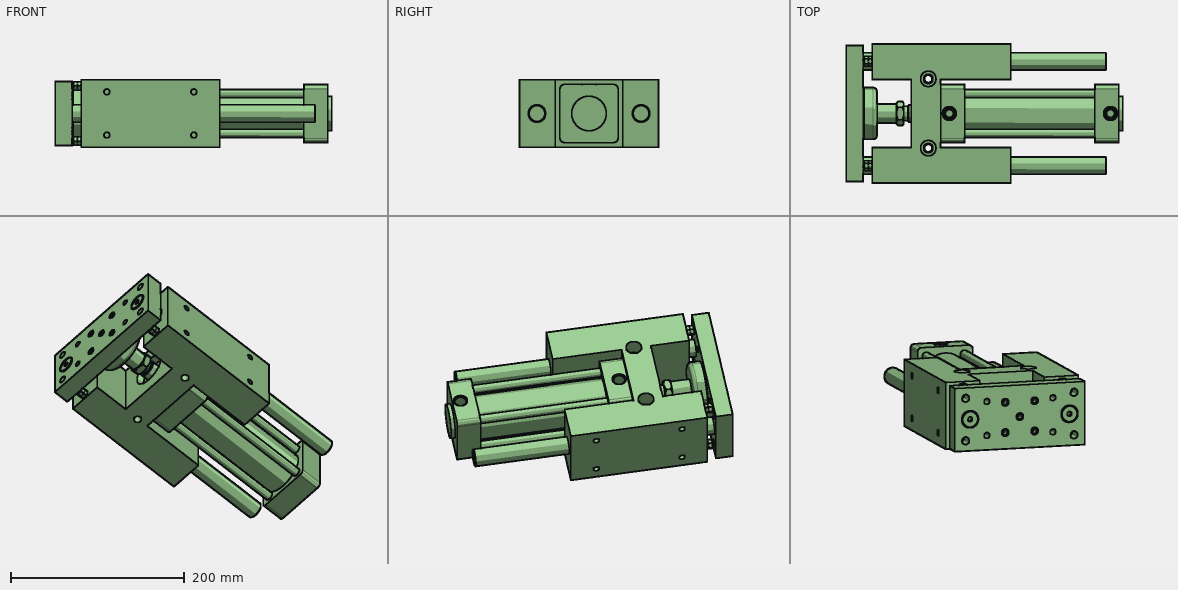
import cadquery as cq
import math


HOUSING_START = 30.0
HOUSING_LENGTH = 159.8
HOUSING_WIDTH = 160.0
HOUSING_HEIGHT = 78.0
WINDOW_WIDTH = 77.8
WEB_START = 75.0
WEB_END = 109.0
ROD_WINDOW_DIAMETER = 40.0
ROD_WINDOW_DEPTH = 9.5

MOUNT_SPACING = 79.8
MOUNT_X = 94.7
MOUNT_COUNTERBORE_DIAMETER = 18.0
MOUNT_COUNTERBORE_DEPTH = 19.0
MOUNT_THREAD_DIAMETER = 11.0
MOUNT_THREAD_DEPTH = 19.0
MOUNT_DRILL_DIAMETER = 8.5

SIDE_HOLE_DIAMETER = 6.7
SIDE_HOLE_DEPTH = 12.8
SIDE_HOLE_START = 59.5
SIDE_HOLE_PITCH_X = 100.2
SIDE_HOLE_PITCH_Z = 49.8

STOP_START = 21.0
STOP_HEAD_LENGTH = 4.8
STOP_ACROSS_FLATS = 10.0
STOP_CHAMFER = 0.5
STOP_SPACING_Z = 63.8

COVER_SIZE = 67.0
COVER_LENGTH = 27.5
COVER_FILLET = 5.0
TOTAL_LENGTH = 319.0
BOSS_DIAMETER = 40.0
BOSS_LENGTH = 4.8
TUBE_DIAMETER = 51.7
TIE_ROD_DIAMETER = 10.0
TIE_ROD_SPACING = 46.0

PORT_MOUTH_DIAMETER = 16.0
PORT_DIAMETER = 13.0
PORT_FLOOR_DIAMETER = 9.3
PORT_DEPTH = 19.0
FRONT_PORT_OFFSET = 10.0
REAR_PORT_OFFSET = 9.5

PLATE_THICKNESS = 19.8
PLATE_WIDTH = 157.0
PLATE_HEIGHT = 74.0
CORNER_HOLE_DIAMETER = 8.5
CORNER_HOLE_SPACING_Y = 130.8
CORNER_HOLE_SPACING_Z = 49.8
THROUGH_HOLE_DIAMETER = 6.7
THROUGH_HOLE_SPACING_Y = 79.8
THROUGH_HOLE_SPACING_Z = 40.0
SCREW_SPACING = 35.5
SCREW_MOUTH_DIAMETER = 8.5
SCREW_HOLE_DIAMETER = 6.0
SCREW_HOLE_DEPTH = 12.8

GUIDE_ROD_DIAMETER = 20.0
GUIDE_ROD_SPACING = 120.0
GUIDE_ROD_END = 300.0
GUIDE_ROD_CHAMFER = 1.0
CENTRE_HOLE_DIAMETER = 5.5
CENTRE_HOLE_DEPTH = 4.8

FLANGE_DIAMETER = 60.0
FLANGE_END = 35.7
FLANGE_FILLET = 4.8
FLANGE_CHAMFER = 1.0
JOINT_DIAMETER = 22.0
NUT_START = 58.0
NUT_END = 66.7
NUT_ACROSS_FLATS = 24.2
NUT_CHAMFER = 2.0
THREAD_DIAMETER = 17.2
PISTON_ROD_START = 71.0
PISTON_ROD_DIAMETER = 20.0
PISTON_ROD_CHAMFER = 1.3

HOUSING_END = HOUSING_START + HOUSING_LENGTH
FRONT_COVER_END = WEB_END + COVER_LENGTH
REAR_COVER_END = TOTAL_LENGTH - BOSS_LENGTH
REAR_COVER_START = REAR_COVER_END - COVER_LENGTH
ROD_WINDOW_FLOOR = WEB_START + ROD_WINDOW_DEPTH
GUIDE_ROD_CENTRES = [(-GUIDE_ROD_SPACING / 2, 0), (GUIDE_ROD_SPACING / 2, 0)]


def grid(spacing_y, spacing_z):
    """Four (y, z) points at the corners of a centred rectangle."""
    return [(sy * spacing_y / 2, sz * spacing_z / 2) for sy in (-1, 1) for sz in (-1, 1)]


def at_x(x):
    """Workplane across the travel direction, with local axes Y and Z."""
    return cq.Workplane("YZ", origin=(x, 0, 0))


def block(start, end, width, height):
    return at_x(start).rect(width, height).extrude(end - start)


def bars(start, end, diameter, centres=((0, 0),)):
    """Round bars along X, one at each (y, z) centre."""
    return at_x(start).pushPoints(centres).circle(diameter / 2).extrude(end - start)


def cone(start, end, start_diameter, end_diameter, centre):
    """Truncated cone along X at a (y, z) centre."""
    base = cq.Vector(start, *centre)
    axis = cq.Vector(1, 0, 0)
    return cq.Workplane(cq.Solid.makeCone(start_diameter / 2, end_diameter / 2, end - start, base, axis))


def hexagon(start, end, across_flats, chamfer, centre=(0, 0)):
    """Hexagon bar along X with corners toward +Y and -Y, its corners rounded off conically at both ends."""
    across_corners = across_flats / math.cos(math.pi / 6)
    prism = at_x(start).center(*centre).polygon(6, across_corners).extrude(end - start)
    envelope = bars(start, end, across_corners, [centre]).faces("<X or >X").chamfer(chamfer)
    return prism.intersect(envelope)


def upright_drill(x, y, top, depth, diameter):
    """Cylinder reaching down from a top face, for vertical holes."""
    return cq.Workplane("XY", origin=(x, y, top)).circle(diameter / 2).extrude(-depth)


def mount_hole(y):
    top = HOUSING_HEIGHT / 2
    thread_floor = MOUNT_COUNTERBORE_DEPTH + MOUNT_THREAD_DEPTH
    return (
        upright_drill(MOUNT_X, y, top, MOUNT_COUNTERBORE_DEPTH, MOUNT_COUNTERBORE_DIAMETER)
        .union(upright_drill(MOUNT_X, y, top, thread_floor, MOUNT_THREAD_DIAMETER))
        .union(upright_drill(MOUNT_X, y, top, HOUSING_HEIGHT, MOUNT_DRILL_DIAMETER))
    )


def side_holes():
    """Blind holes in both outer sides of the housing."""
    points = [
        (SIDE_HOLE_START + i * SIDE_HOLE_PITCH_X, s * SIDE_HOLE_PITCH_Z / 2) for i in (0, 1) for s in (-1, 1)
    ]
    core_width = HOUSING_WIDTH - 2 * SIDE_HOLE_DEPTH
    through = (
        cq.Workplane("XZ").pushPoints(points).circle(SIDE_HOLE_DIAMETER / 2).extrude(HOUSING_WIDTH / 2, both=True)
    )
    return through.cut(block(0, TOTAL_LENGTH, core_width, HOUSING_HEIGHT))


def stop_bolt(centre):
    """Hexagon bolt head with a lock nut against the housing."""
    head_end = STOP_START + STOP_HEAD_LENGTH
    head = hexagon(STOP_START, head_end, STOP_ACROSS_FLATS, STOP_CHAMFER, centre)
    nut = hexagon(head_end, HOUSING_START, STOP_ACROSS_FLATS, STOP_CHAMFER, centre)
    return head.union(nut)


def port(x):
    """Vertical tapered port with a 45 degree countersunk mouth."""
    sink_depth = (PORT_MOUTH_DIAMETER - PORT_DIAMETER) / 2
    profile = [
        (0, 0),
        (PORT_MOUTH_DIAMETER / 2, 0),
        (PORT_DIAMETER / 2, -sink_depth),
        (PORT_FLOOR_DIAMETER / 2, -PORT_DEPTH),
        (0, -PORT_DEPTH),
    ]
    mouth = cq.Workplane("XZ", origin=(x, 0, COVER_SIZE / 2))
    return mouth.polyline(profile).close().revolve(360, (0, 0), (0, 1))


def cover(start):
    return block(start, start + COVER_LENGTH, COVER_SIZE, COVER_SIZE).edges("|X").fillet(COVER_FILLET)


def make_cylinder():
    tie_rods = bars(FRONT_COVER_END, REAR_COVER_START, TIE_ROD_DIAMETER, grid(TIE_ROD_SPACING, TIE_ROD_SPACING))
    return (
        cover(WEB_END)
        .union(cover(REAR_COVER_START))
        .union(bars(FRONT_COVER_END, REAR_COVER_START, TUBE_DIAMETER))
        .union(tie_rods)
        .union(bars(REAR_COVER_END, TOTAL_LENGTH, BOSS_DIAMETER))
        .cut(port(WEB_END + FRONT_PORT_OFFSET))
        .cut(port(REAR_COVER_END - REAR_PORT_OFFSET))
    )


def make_body():
    """Stationary body: the guide housing with its stop bolts and the cylinder."""
    body = block(HOUSING_START, HOUSING_END, HOUSING_WIDTH, HOUSING_HEIGHT)
    body = body.cut(block(HOUSING_START, WEB_START, WINDOW_WIDTH, HOUSING_HEIGHT))
    body = body.cut(block(WEB_END, HOUSING_END, WINDOW_WIDTH, HOUSING_HEIGHT))
    body = body.cut(bars(WEB_START, ROD_WINDOW_FLOOR, ROD_WINDOW_DIAMETER))
    for side in (-1, 1):
        body = body.cut(mount_hole(side * MOUNT_SPACING / 2))
    body = body.cut(side_holes())
    body = body.cut(bars(HOUSING_START, HOUSING_END, GUIDE_ROD_DIAMETER, GUIDE_ROD_CENTRES))
    body = body.union(make_cylinder())
    body = body.cut(bars(ROD_WINDOW_FLOOR, FRONT_COVER_END, PISTON_ROD_DIAMETER))
    for centre in grid(GUIDE_ROD_SPACING, STOP_SPACING_Z):
        body = body.union(stop_bolt(centre))
    return body


def countersunk_hole(centre):
    """Blind hole in the plate face with a 45 degree countersink."""
    sink_depth = (SCREW_MOUTH_DIAMETER - SCREW_HOLE_DIAMETER) / 2
    sink = cone(0, sink_depth, SCREW_MOUTH_DIAMETER, SCREW_HOLE_DIAMETER, centre)
    return bars(0, SCREW_HOLE_DEPTH, SCREW_HOLE_DIAMETER, [centre]).union(sink)


def plate_holes():
    corner = bars(0, PLATE_THICKNESS, CORNER_HOLE_DIAMETER, grid(CORNER_HOLE_SPACING_Y, CORNER_HOLE_SPACING_Z))
    through = bars(0, PLATE_THICKNESS, THROUGH_HOLE_DIAMETER, grid(THROUGH_HOLE_SPACING_Y, THROUGH_HOLE_SPACING_Z))
    centre_drills = bars(0, CENTRE_HOLE_DEPTH, CENTRE_HOLE_DIAMETER, GUIDE_ROD_CENTRES)
    holes = corner.union(through).union(centre_drills)
    for centre in [(0, 0)] + grid(SCREW_SPACING, SCREW_SPACING):
        holes = holes.union(countersunk_hole(centre))
    return holes


def rod_end_groove(centre):
    """V groove that the chamfered front end of a guide rod leaves in the plate face."""
    bore = bars(0, GUIDE_ROD_CHAMFER, GUIDE_ROD_DIAMETER, [centre])
    tip_diameter = GUIDE_ROD_DIAMETER - 2 * GUIDE_ROD_CHAMFER
    return bore.cut(cone(0, GUIDE_ROD_CHAMFER, tip_diameter, GUIDE_ROD_DIAMETER, centre))


def make_slide():
    """Moving body: the plate with its guide rods, floating joint and piston rod."""
    guide_rods = bars(0, GUIDE_ROD_END, GUIDE_ROD_DIAMETER, GUIDE_ROD_CENTRES)
    guide_rods = guide_rods.faces(">X").chamfer(GUIDE_ROD_CHAMFER)
    flange = bars(PLATE_THICKNESS, FLANGE_END, FLANGE_DIAMETER).faces(">X").edges().fillet(FLANGE_FILLET)
    flange = flange.faces("<X").chamfer(FLANGE_CHAMFER)
    piston_rod = bars(PISTON_ROD_START, FRONT_COVER_END, PISTON_ROD_DIAMETER)
    piston_rod = piston_rod.faces("<X").chamfer(PISTON_ROD_CHAMFER)
    slide = block(0, PLATE_THICKNESS, PLATE_WIDTH, PLATE_HEIGHT).union(guide_rods)
    for centre in GUIDE_ROD_CENTRES:
        slide = slide.cut(rod_end_groove(centre))
    return (
        slide.cut(plate_holes())
        .union(flange)
        .union(bars(FLANGE_END, NUT_START, JOINT_DIAMETER))
        .union(hexagon(NUT_START, NUT_END, NUT_ACROSS_FLATS, NUT_CHAMFER))
        .union(bars(NUT_END, PISTON_ROD_START, THREAD_DIAMETER))
        .union(piston_rod)
    )


body = make_body()
slide = make_slide()
result = cq.Compound.makeCompound([body.val(), slide.val()])